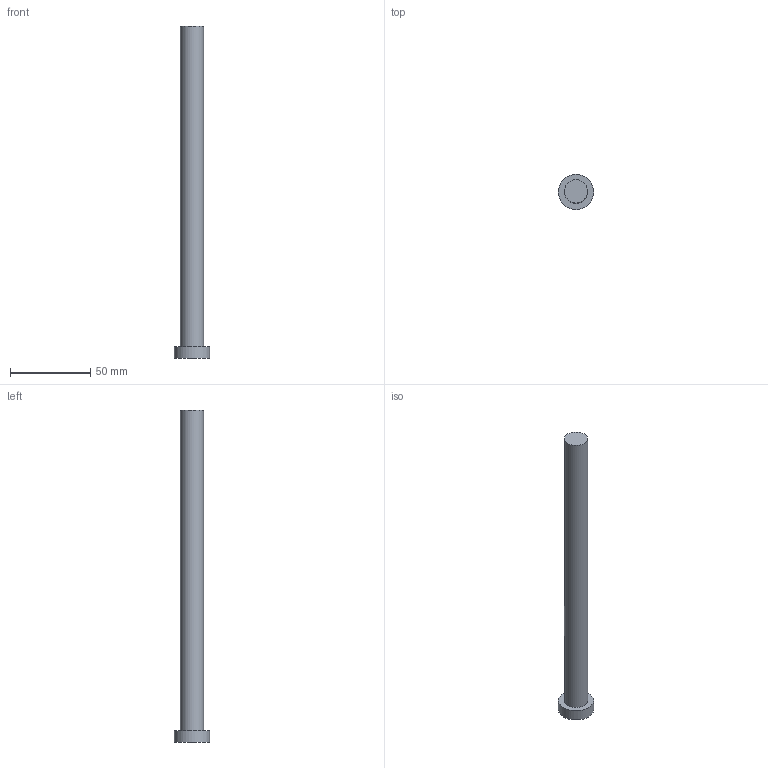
import cadquery as cq

overall_length = 207.0
head_diameter = 22.0
head_height = 7.0
shank_diameter = 14.5
shank_length = overall_length - head_height


def make_head():
    """Flat disc at the bottom of the pin."""
    return cq.Workplane("XY").circle(head_diameter / 2).extrude(head_height)


def make_shank():
    """Plain cylinder rising from the top of the head."""
    return (
        cq.Workplane("XY")
        .workplane(offset=head_height)
        .circle(shank_diameter / 2)
        .extrude(shank_length)
    )


result = make_head().union(make_shank())